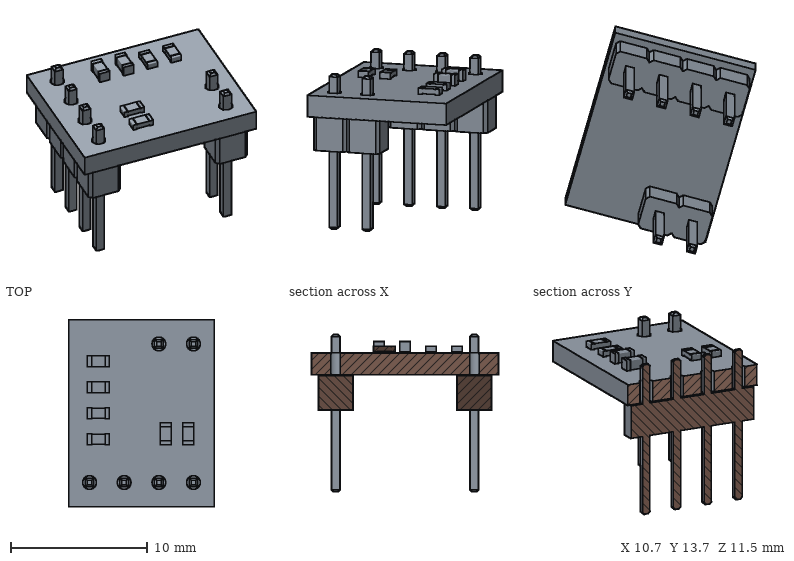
import cadquery as cq

BOARD_X = 10.67
BOARD_Y = 13.72
BOARD_THICKNESS = 1.6
HOLE_DIAMETER = 1.0
MOUNT_GAP = 0.05

PITCH = 2.54
HEADER_HEIGHT = PITCH
HEADER_CHAMFER = PITCH / 10
ROW_Y = 2 * PITCH
PIN_LENGTH = 11.54
PIN_ABOVE_HEADER = 3.0
PIN_WIDTH = 0.65
PIN_TIP_CHAMFER = PIN_WIDTH / 4
FRONT_PIN_COUNT = 4
BACK_PIN_COUNT = 2
FIRST_PIN_X = -(FRONT_PIN_COUNT - 1) / 2 * PITCH

CHIP_LENGTH = 1.6
CHIP_WIDTH = 0.8
TERMINAL_LENGTH = 0.3
TERMINAL_XS = [side * (CHIP_LENGTH - TERMINAL_LENGTH) / 2 for side in (-1, 1)]
MIDDLE_LENGTH = CHIP_LENGTH - 2 * TERMINAL_LENGTH
RESISTOR_HEIGHT = 0.45
RESISTOR_ROUND = 0.05
CAPACITOR_HEIGHT = 0.8
CAPACITOR_ROUND = 0.03
CAPACITOR_INSET = 0.03

CHIP_COLUMN_X = -3.15
CHIP_COLUMN_PITCH = 1.91
UPRIGHT_CHIP_XS = (1.77, 3.43)
UPRIGHT_CHIP_Y = -1.51

HEADER_TOP = -MOUNT_GAP
CHIP_BASE = BOARD_THICKNESS + MOUNT_GAP


def pin_row(count, y):
    """Pin centres of one header; every row ends at the same last column."""
    first_column = FRONT_PIN_COUNT - count
    return [(FIRST_PIN_X + PITCH * column, y) for column in range(first_column, FRONT_PIN_COUNT)]


front_row = pin_row(FRONT_PIN_COUNT, -ROW_Y)
back_row = pin_row(BACK_PIN_COUNT, ROW_Y)


def make_board():
    """Plain rectangular board with a round hole for every pin."""
    return (
        cq.Workplane("XY")
        .box(BOARD_X, BOARD_Y, BOARD_THICKNESS, centered=(True, True, False))
        .faces(">Z")
        .workplane()
        .pushPoints(front_row + back_row)
        .hole(HOLE_DIAMETER)
    )


def make_header(centres):
    """One header: a corner-chamfered block per pin, joined with the square pins through them."""
    header = cq.Workplane("XY")
    for x, y in centres:
        block = (
            cq.Workplane("XY", origin=(x, y, HEADER_TOP - HEADER_HEIGHT))
            .box(PITCH, PITCH, HEADER_HEIGHT, centered=(True, True, False))
            .edges("|Z")
            .chamfer(HEADER_CHAMFER)
        )
        pin = (
            cq.Workplane("XY", origin=(x, y, HEADER_TOP + PIN_ABOVE_HEADER - PIN_LENGTH))
            .box(PIN_WIDTH, PIN_WIDTH, PIN_LENGTH, centered=(True, True, False))
            .faces("<Z or >Z")
            .chamfer(PIN_TIP_CHAMFER)
        )
        header = header.union(block).union(pin)
    return header


def chip_block(length, width, height, base, x=0):
    """Block centred on Y, standing at the given height."""
    return cq.Workplane("XY", origin=(x, 0, base)).box(length, width, height, centered=(True, True, False))


def make_resistor():
    """Flat chip: a thin core, a coating on its middle and round-edged terminals at its ends."""
    core_height = RESISTOR_HEIGHT - 2 * RESISTOR_ROUND
    core = chip_block(CHIP_LENGTH - 2 * RESISTOR_ROUND, CHIP_WIDTH, core_height, RESISTOR_ROUND)
    coating = chip_block(MIDDLE_LENGTH, CHIP_WIDTH, RESISTOR_ROUND, RESISTOR_HEIGHT - RESISTOR_ROUND)
    resistor = core.union(coating)
    for x in TERMINAL_XS:
        terminal = chip_block(TERMINAL_LENGTH, CHIP_WIDTH, RESISTOR_HEIGHT, 0, x)
        resistor = resistor.union(terminal.edges("|Y").fillet(RESISTOR_ROUND))
    return resistor


def make_capacitor():
    """Tall chip: two terminals and a slightly smaller body between them, long edges rounded."""
    capacitor = chip_block(
        MIDDLE_LENGTH,
        CHIP_WIDTH - 2 * CAPACITOR_INSET,
        CAPACITOR_HEIGHT - 2 * CAPACITOR_INSET,
        CAPACITOR_INSET,
    )
    capacitor = capacitor.edges("|X").fillet(CAPACITOR_ROUND)
    for x in TERMINAL_XS:
        terminal = chip_block(TERMINAL_LENGTH, CHIP_WIDTH, CAPACITOR_HEIGHT, 0, x)
        capacitor = capacitor.union(terminal.edges("|X").fillet(CAPACITOR_ROUND))
    return capacitor


board = make_board()
headers = [make_header(row) for row in (front_row, back_row)]

resistor = make_resistor()
upright_resistor = resistor.rotate((0, 0, 0), (0, 0, 1), 90)
capacitor = make_capacitor()

column_resistors = [
    resistor.translate((CHIP_COLUMN_X, CHIP_COLUMN_PITCH * step, CHIP_BASE)) for step in (2, 1)
]
capacitors = [
    capacitor.translate((CHIP_COLUMN_X, CHIP_COLUMN_PITCH * step, CHIP_BASE)) for step in (0, -1)
]
upright_resistors = [
    upright_resistor.translate((x, UPRIGHT_CHIP_Y, CHIP_BASE)) for x in UPRIGHT_CHIP_XS
]

bodies = [board] + headers + column_resistors + capacitors + upright_resistors
result = cq.Compound.makeCompound([body.val() for body in bodies])